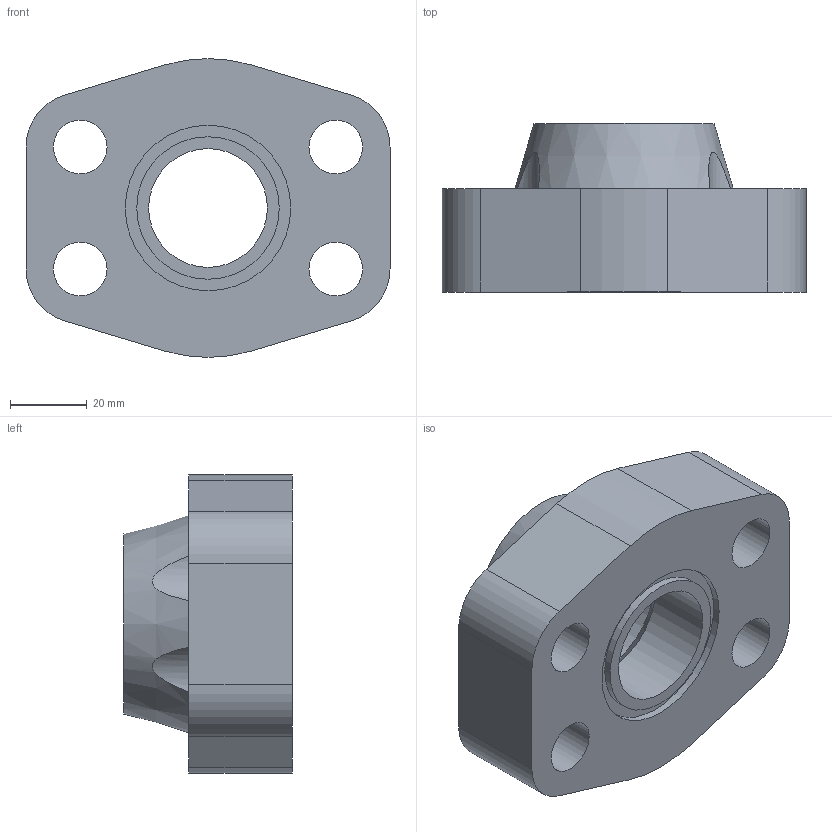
import cadquery as cq
import math

flange_length = 95.0
flange_height = 78.0
flange_thickness = 27.0

bolt_spacing_x = 66.7
bolt_spacing_z = 31.8
bolt_hole_diameter = 14.0
bolt_head_clearance_radius = 11.25

total_depth = 44.0
neck_base_diameter = 57.0
neck_end_diameter = 47.0

bore_diameter = 31.0
bore_depth = 17.6
pipe_bore_diameter = 39.0
bore_taper_length = (pipe_bore_diameter - bore_diameter) / 2

groove_outer_diameter = 43.2
groove_inner_diameter = 37.2
groove_depth = 2.0

bolt_x = bolt_spacing_x / 2
bolt_z = bolt_spacing_z / 2
crown_radius = flange_height / 2
corner_radius = flange_length / 2 - bolt_x
bolt_positions = [(sx * bolt_x, sz * bolt_z) for sx in (-1, 1) for sz in (-1, 1)]


def on_xz(y):
    """Workplane at depth y whose local axes are X and Z; positive extrusion runs toward -Y."""
    return cq.Workplane("XZ", origin=(0, y, 0))


def cylinder(x, z, radius, y_start, y_end):
    return on_xz(y_start).center(x, z).circle(radius).extrude(y_start - y_end)


def revolved(half_profile):
    """Turn a closed profile drawn in (radius, Y) about the Y axis."""
    return half_profile.close().revolve(360, (0, 0, 0), (0, 1, 0))


def flange_plate():
    """Plate bounded by a central circle, four corner circles round the bolts and their tangents."""
    bolt_distance = math.hypot(bolt_x, bolt_z)
    normal_angle = math.atan2(bolt_z, bolt_x) + math.acos((crown_radius - corner_radius) / bolt_distance)
    nx = math.cos(normal_angle)
    nz = math.sin(normal_angle)
    crown_x = crown_radius * nx
    crown_z = crown_radius * nz
    corner_x = bolt_x + corner_radius * nx
    corner_z = bolt_z + corner_radius * nz
    half_length = flange_length / 2
    mid_angle = normal_angle / 2
    mid_x = bolt_x + corner_radius * math.cos(mid_angle)
    mid_z = bolt_z + corner_radius * math.sin(mid_angle)
    outline = (
        on_xz(0)
        .moveTo(-crown_x, crown_z)
        .threePointArc((0, crown_radius), (crown_x, crown_z))
        .lineTo(corner_x, corner_z)
        .threePointArc((mid_x, mid_z), (half_length, bolt_z))
        .lineTo(half_length, -bolt_z)
        .threePointArc((mid_x, -mid_z), (corner_x, -corner_z))
        .lineTo(crown_x, -crown_z)
        .threePointArc((0, -crown_radius), (-crown_x, -crown_z))
        .lineTo(-corner_x, -corner_z)
        .threePointArc((-mid_x, -mid_z), (-half_length, -bolt_z))
        .lineTo(-half_length, bolt_z)
        .threePointArc((-mid_x, mid_z), (-corner_x, corner_z))
        .close()
    )
    return outline.extrude(-flange_thickness)


def weld_neck():
    """Conical neck, relieved round each bolt."""
    base_radius = neck_base_diameter / 2
    end_radius = neck_end_diameter / 2
    neck = revolved(
        cq.Workplane("XY")
        .moveTo(0, flange_thickness)
        .lineTo(base_radius, flange_thickness)
        .lineTo(end_radius, total_depth)
        .lineTo(0, total_depth)
    )
    for x, z in bolt_positions:
        neck = neck.cut(cylinder(x, z, bolt_head_clearance_radius, flange_thickness, total_depth))
    return neck


def bolt_holes():
    holes = cq.Workplane("XZ").pushPoints(bolt_positions).circle(bolt_hole_diameter / 2)
    return holes.extrude(-flange_thickness)


def stepped_bore():
    """Straight bore from the sealing face, flaring into the wider pipe bore."""
    bore_radius = bore_diameter / 2
    pipe_radius = pipe_bore_diameter / 2
    return revolved(
        cq.Workplane("XY")
        .lineTo(bore_radius, 0)
        .lineTo(bore_radius, bore_depth)
        .lineTo(pipe_radius, bore_depth + bore_taper_length)
        .lineTo(pipe_radius, total_depth)
        .lineTo(0, total_depth)
    )


def oring_groove():
    ring = cq.Workplane("XZ").circle(groove_outer_diameter / 2).circle(groove_inner_diameter / 2)
    return ring.extrude(-groove_depth)


result = (
    flange_plate()
    .union(weld_neck())
    .cut(bolt_holes())
    .cut(stepped_bore())
    .cut(oring_groove())
)